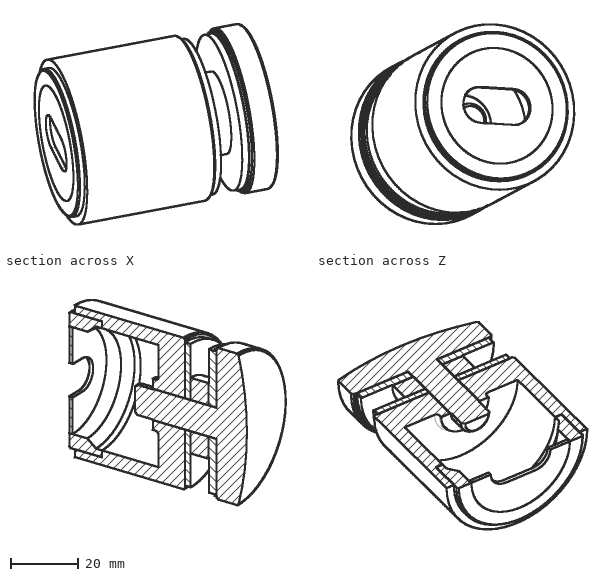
import cadquery as cq

TOTAL_LENGTH = 64.55
OUTER_RADIUS = 50.0 / 2
EDGE_CHAMFER = 0.5

RING_RADIUS = 22.45
RING_LENGTH = 12.0
RING_MOUTH_RADIUS = 17.5
RING_BORE_RADIUS = 20.0
RING_CONE_START = 6.65
RING_CONE_END = 9.8

PLATE_THICKNESS = 1.35
SLOT_LENGTH = 21.1
SLOT_WIDTH = 10.9

SLEEVE_START = 2.0
SLEEVE_END = 42.0
SLEEVE_FLOOR = 32.3
BOSS_RADIUS = 8.45
BOSS_HEIGHT = 2.0
BOSS_FILLET = 1.05

WASHER_RADIUS = 23.6
WASHER_THICKNESS = 2.05
SPACER_RADIUS = 12.5
SPACER_LENGTH = 6.6
FLANGE_RADIUS = 24.15
FLANGE_THICKNESS = 0.8

CAP_RIM_HEIGHT = 8.0
STUD_RADIUS = 5.05
STUD_CHAMFER = 0.9
STUD_OVERHANG = 6.45

SPACER_START = SLEEVE_END + WASHER_THICKNESS
SPACER_END = SPACER_START + SPACER_LENGTH
FLANGE_START = SPACER_END + WASHER_THICKNESS
CAP_START = FLANGE_START + FLANGE_THICKNESS
CAP_RIM_END = CAP_START + CAP_RIM_HEIGHT
STUD_TIP = SLEEVE_FLOOR - BOSS_HEIGHT - STUD_OVERHANG


def turned(profile):
    """Revolve a closed profile of (Y, radius) coordinates about the Y axis."""
    return profile.close().revolve(360, (0, 0, 0), (1, 0, 0))


def turned_polygon(points):
    return turned(cq.Workplane("YZ").polyline(points))


def make_tube(start, length, outer_radius, inner_radius):
    end = start + length
    return turned_polygon(
        [(start, inner_radius), (start, outer_radius), (end, outer_radius), (end, inner_radius)]
    )


def make_base_ring():
    """Ring with a chamfered front edge and a bore that widens through a cone."""
    return turned_polygon(
        [
            (0, RING_MOUTH_RADIUS),
            (0, RING_RADIUS - EDGE_CHAMFER),
            (EDGE_CHAMFER, RING_RADIUS),
            (RING_LENGTH, RING_RADIUS),
            (RING_LENGTH, RING_BORE_RADIUS),
            (RING_CONE_END, RING_BORE_RADIUS),
            (RING_CONE_START, RING_MOUTH_RADIUS),
        ]
    )


def make_slotted_plate():
    plate = cq.Workplane("XZ").circle(RING_MOUTH_RADIUS).extrude(-PLATE_THICKNESS)
    slot = cq.Workplane("XZ").slot2D(SLOT_LENGTH, SLOT_WIDTH).extrude(-PLATE_THICKNESS)
    return plate.cut(slot)


def make_sleeve():
    """Cup open toward the ring, with a filleted boss around the stud hole in its floor."""
    boss_face = SLEEVE_FLOOR - BOSS_HEIGHT
    profile = (
        cq.Workplane("YZ")
        .moveTo(SLEEVE_START, RING_RADIUS)
        .lineTo(SLEEVE_START, OUTER_RADIUS)
        .lineTo(SLEEVE_END - EDGE_CHAMFER, OUTER_RADIUS)
        .lineTo(SLEEVE_END, OUTER_RADIUS - EDGE_CHAMFER)
        .lineTo(SLEEVE_END, STUD_RADIUS)
        .lineTo(boss_face, STUD_RADIUS)
        .lineTo(boss_face, BOSS_RADIUS)
        .lineTo(SLEEVE_FLOOR - BOSS_FILLET, BOSS_RADIUS)
        .radiusArc((SLEEVE_FLOOR, BOSS_RADIUS + BOSS_FILLET), -BOSS_FILLET)
        .lineTo(SLEEVE_FLOOR, RING_BORE_RADIUS)
        .lineTo(RING_LENGTH, RING_BORE_RADIUS)
        .lineTo(RING_LENGTH, RING_RADIUS)
    )
    return turned(profile)


def make_flanged_washer():
    """Washer with a thin, slightly wider flange against the cap."""
    return turned_polygon(
        [
            (SPACER_END, STUD_RADIUS),
            (SPACER_END, WASHER_RADIUS),
            (FLANGE_START, WASHER_RADIUS),
            (FLANGE_START, FLANGE_RADIUS),
            (CAP_START, FLANGE_RADIUS),
            (CAP_START, STUD_RADIUS),
        ]
    )


def make_cap():
    """Disc with chamfered edges, a shallow spherical dome and a chamfered stud."""
    dome_edge_radius = OUTER_RADIUS - EDGE_CHAMFER
    dome_rise = TOTAL_LENGTH - CAP_RIM_END
    sphere_radius = (dome_edge_radius**2 + dome_rise**2) / (2 * dome_rise)
    profile = (
        cq.Workplane("YZ")
        .moveTo(STUD_TIP, 0)
        .lineTo(STUD_TIP, STUD_RADIUS - STUD_CHAMFER)
        .lineTo(STUD_TIP + STUD_CHAMFER, STUD_RADIUS)
        .lineTo(CAP_START, STUD_RADIUS)
        .lineTo(CAP_START, dome_edge_radius)
        .lineTo(CAP_START + EDGE_CHAMFER, OUTER_RADIUS)
        .lineTo(CAP_RIM_END - EDGE_CHAMFER, OUTER_RADIUS)
        .lineTo(CAP_RIM_END, dome_edge_radius)
        .radiusArc((TOTAL_LENGTH, 0), sphere_radius)
    )
    return turned(profile)


base_ring = make_base_ring()
slotted_plate = make_slotted_plate()
sleeve = make_sleeve()
plain_washer = make_tube(SLEEVE_END, WASHER_THICKNESS, WASHER_RADIUS, STUD_RADIUS)
spacer = make_tube(SPACER_START, SPACER_LENGTH, SPACER_RADIUS, STUD_RADIUS)
flanged_washer = make_flanged_washer()
cap = make_cap()

result = cq.Compound.makeCompound(
    [
        base_ring.val(),
        slotted_plate.val(),
        sleeve.val(),
        plain_washer.val(),
        spacer.val(),
        flanged_washer.val(),
        cap.val(),
    ]
)